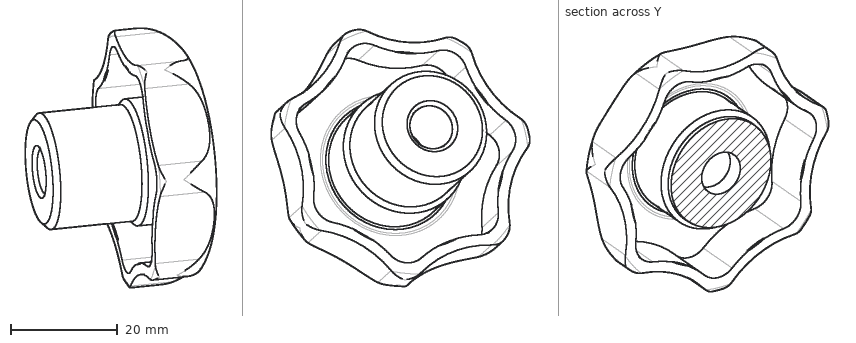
import cadquery as cq
import math

LOBES = 7
LOBE_PITCH = 360 / LOBES

OUTER_LOBE_CENTRE = 21.0
OUTER_LOBE_RADIUS = 4.0
OUTER_WAIST = 21.15
INNER_LOBE_CENTRE = 17.6
INNER_LOBE_RADIUS = 4.35
INNER_WAIST = 19.0

TIP_RADIUS = OUTER_LOBE_CENTRE + OUTER_LOBE_RADIUS
HEAD_HEIGHT = 15.02
CROWN_EDGE_RADIUS = 19.1
CROWN_EDGE_HEIGHT = 12.35
SHOULDER_START = 4.4
RIM_ROUND = 1.0
CAVITY_DEPTH = 10.45
WAIST_TRIM_RADIUS = 19.2
WAIST_TRIM_DEPTH = 0.25

HUB_LENGTH = 17.0
HUB_RADIUS = 22 / 2
HUB_CHAMFER = 1.17
COLLAR_RADIUS = 24 / 2
COLLAR_CHAMFER = COLLAR_RADIUS - HUB_RADIUS

GROOVE_INNER_RADIUS = 12.55
GROOVE_OUTER_RADIUS = 13.65
GROOVE_ROUND = 1.0
GROOVE_SLOPE = 11.0
GROOVE_FLANK_WIDTH = 0.45

BORE_RADIUS = 8.35 / 2
BORE_CHAMFER = 0.8
BORE_DEPTH = 19.6


def polar(radius, degrees):
    angle = math.radians(degrees)
    return radius * math.cos(angle), radius * math.sin(angle)


def star_prism(lobe_centre, lobe_radius, waist, height):
    """Star of convex lobes joined by tangent concave arcs, extruded from the rim towards +Y."""
    half_pitch = LOBE_PITCH / 2
    along, across = polar(lobe_centre, half_pitch)
    gap = waist - along
    hollow_radius = (across**2 + gap**2 - lobe_radius**2) / (2 * (lobe_radius - gap))
    share = lobe_radius / (lobe_radius + hollow_radius)
    hollow_x, hollow_y = polar(waist + hollow_radius, half_pitch)
    touch_x = lobe_centre + (hollow_x - lobe_centre) * share
    touch_y = hollow_y * share
    touch_radius = math.hypot(touch_x, touch_y)
    touch_angle = math.degrees(math.atan2(touch_y, touch_x))

    first_lobe = -90
    outline = cq.Workplane("XZ").moveTo(*polar(touch_radius, first_lobe - touch_angle))
    for index in range(LOBES):
        lobe = first_lobe + index * LOBE_PITCH
        outline = outline.threePointArc(
            polar(lobe_centre + lobe_radius, lobe), polar(touch_radius, lobe + touch_angle)
        )
        outline = outline.threePointArc(
            polar(waist, lobe + half_pitch), polar(touch_radius, lobe + LOBE_PITCH - touch_angle)
        )
    return outline.close().extrude(-height)


def turned(profile):
    """Revolve a closed (radius, Y) profile about the Y axis."""
    return profile.close().revolve(360, (0, 0, 0), (0, 1, 0))


def head_envelope():
    shoulder_rise = CROWN_EDGE_HEIGHT - SHOULDER_START
    shoulder_run = TIP_RADIUS - CROWN_EDGE_RADIUS
    shoulder_radius = (shoulder_rise**2 + shoulder_run**2) / (2 * shoulder_run)
    half_sweep = math.degrees(math.asin(shoulder_rise / shoulder_radius)) / 2
    mid_x, mid_y = polar(shoulder_radius, half_sweep)
    shoulder_mid = (TIP_RADIUS - shoulder_radius + mid_x, SHOULDER_START + mid_y)

    round_inset = RIM_ROUND * (1 - math.sqrt(0.5))

    crown_drop = HEAD_HEIGHT - CROWN_EDGE_HEIGHT
    crown_radius = (CROWN_EDGE_RADIUS**2 + crown_drop**2) / (2 * crown_drop)
    half_crown = CROWN_EDGE_RADIUS / 2
    crown_mid_y = HEAD_HEIGHT - crown_radius + math.sqrt(crown_radius**2 - half_crown**2)

    return turned(
        cq.Workplane("XY")
        .lineTo(TIP_RADIUS - RIM_ROUND, 0)
        .threePointArc((TIP_RADIUS - round_inset, round_inset), (TIP_RADIUS, RIM_ROUND))
        .lineTo(TIP_RADIUS, SHOULDER_START)
        .threePointArc(shoulder_mid, (CROWN_EDGE_RADIUS, CROWN_EDGE_HEIGHT))
        .threePointArc((half_crown, crown_mid_y), (0, HEAD_HEIGHT))
    )


def head():
    star = star_prism(OUTER_LOBE_CENTRE, OUTER_LOBE_RADIUS, OUTER_WAIST, HEAD_HEIGHT)
    cavity = star_prism(INNER_LOBE_CENTRE, INNER_LOBE_RADIUS, INNER_WAIST, CAVITY_DEPTH)
    waist_trim = cq.Workplane("XZ").circle(WAIST_TRIM_RADIUS).extrude(-WAIST_TRIM_DEPTH)
    return star.intersect(head_envelope()).cut(cavity).cut(waist_trim)


def hub():
    overlap = 0.5
    return turned(
        cq.Workplane("XY")
        .moveTo(0, -HUB_LENGTH)
        .lineTo(HUB_RADIUS - HUB_CHAMFER, -HUB_LENGTH)
        .lineTo(HUB_RADIUS, HUB_CHAMFER - HUB_LENGTH)
        .lineTo(HUB_RADIUS, 0)
        .lineTo(COLLAR_RADIUS, COLLAR_CHAMFER)
        .lineTo(COLLAR_RADIUS, CAVITY_DEPTH + overlap)
        .lineTo(0, CAVITY_DEPTH + overlap)
    )


def floor_groove():
    slope = math.radians(GROOVE_SLOPE)
    flank_radius = GROOVE_OUTER_RADIUS - GROOVE_FLANK_WIDTH
    flank_y = CAVITY_DEPTH + GROOVE_FLANK_WIDTH * math.tan(slope)
    deepest_radius = flank_radius - GROOVE_ROUND * math.sin(slope)
    deepest_y = flank_y + GROOVE_ROUND * (1 - math.cos(slope))
    return turned(
        cq.Workplane("XY")
        .moveTo(GROOVE_OUTER_RADIUS, CAVITY_DEPTH)
        .lineTo(flank_radius, flank_y)
        .threePointArc((deepest_radius, deepest_y), (GROOVE_INNER_RADIUS, CAVITY_DEPTH))
    )


def bore():
    return turned(
        cq.Workplane("XY")
        .moveTo(0, -HUB_LENGTH)
        .lineTo(BORE_RADIUS + BORE_CHAMFER, -HUB_LENGTH)
        .lineTo(BORE_RADIUS, BORE_CHAMFER - HUB_LENGTH)
        .lineTo(BORE_RADIUS, BORE_DEPTH - HUB_LENGTH)
        .lineTo(0, BORE_DEPTH - HUB_LENGTH)
    )


result = head().union(hub()).cut(floor_groove()).cut(bore())